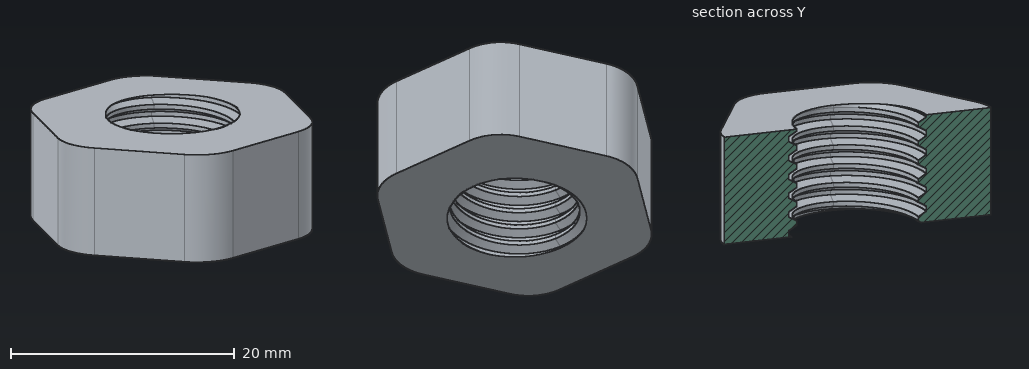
import cadquery as cq
import math

across_flats = 23.42
nut_height = 10.0
corner_radius = 4.5

bore_radius = 11.67 / 2
thread_pitch = 1.75
flank_half_angle = 30.0
crest_height = thread_pitch / 4
root_height = thread_pitch / 4
flank_height = (thread_pitch - crest_height - root_height) / 2
thread_depth = flank_height / math.tan(math.radians(flank_half_angle))

fade_start_angle = 180.0
fade_sweep = 90.0
fade_points = 13

groove_middle = crest_height + flank_height + root_height / 2


def make_body():
    """Hexagonal prism with two flats facing +Y and -Y, and rounded corners."""
    corner_to_corner = across_flats / math.cos(math.radians(30))
    prism = cq.Workplane("XY").polygon(6, corner_to_corner).extrude(nut_height)
    return prism.edges("|Z").fillet(corner_radius)


def helix_arc(depth, turn_z, start_angle, end_angle):
    """Part of a helix at a fixed depth below the bore wall; turn_z is its height at angle zero."""
    rise = thread_pitch * (end_angle - start_angle) / 360
    start_z = turn_z + thread_pitch * start_angle / 360
    helix = cq.Wire.makeHelix(thread_pitch, rise, bore_radius + depth, cq.Vector(0, 0, start_z))
    return helix.rotate(cq.Vector(0, 0, 0), cq.Vector(0, 0, 1), start_angle).Edges()[0]


def fading_arc(depth, turn_z):
    """Helical curve whose depth below the bore wall eases to nothing over the fade."""
    points = []
    for index in range(fade_points):
        progress = index / (fade_points - 1)
        angle = math.radians(fade_sweep * progress)
        radius = bore_radius + depth * (1 + math.cos(math.pi * progress)) / 2
        z = turn_z + thread_pitch * fade_sweep * progress / 360
        points.append(cq.Vector(radius * math.cos(angle), radius * math.sin(angle), z))
    return cq.Edge.makeSpline(points)


def thread_corners(depth):
    """Depth and height of the thread corners over one pitch, from crest to next crest."""
    return [
        (0, 0),
        (0, crest_height),
        (depth, crest_height + flank_height),
        (depth, thread_pitch - flank_height),
        (0, thread_pitch),
    ]


def make_strips(curves):
    """Ruled faces between neighbouring curves."""
    return [cq.Face.makeRuledSurface(low, high) for low, high in zip(curves, curves[1:])]


def make_full_turn(turn_z):
    """Crest, flank, root and flank faces over one turn at full depth."""
    faces = []
    for start_angle, end_angle in ((0, fade_sweep), (fade_sweep, 360)):
        faces += make_strips([
            helix_arc(depth, turn_z + z, start_angle, end_angle)
            for depth, z in thread_corners(thread_depth)
        ])
    return faces


def make_fading_turn(turn_z):
    """One turn in which the groove fades out, followed by plain bore wall."""
    fading = [
        fading_arc(depth, turn_z + z) if depth > 0 else helix_arc(0, turn_z + z, 0, fade_sweep)
        for depth, z in thread_corners(thread_depth)
    ]
    plain = [helix_arc(0, turn_z + z, fade_sweep, 360) for _, z in thread_corners(0)]
    return make_strips(fading) + make_strips(plain)


def make_end_cap(turn_z, depth):
    """Spiral ramp from the axis to the thread, closed by a radial step one pitch high."""
    faces = []
    for start_angle, end_angle in ((0, fade_sweep), (fade_sweep, 360)):
        axis_start = cq.Vector(0, 0, turn_z + thread_pitch * start_angle / 360)
        axis_end = cq.Vector(0, 0, turn_z + thread_pitch * end_angle / 360)
        axis = cq.Edge.makeLine(axis_start, axis_end)
        faces.append(cq.Face.makeRuledSurface(axis, helix_arc(0, turn_z, start_angle, end_angle)))

    step_points = [(bore_radius + d, 0, turn_z + z) for d, z in thread_corners(depth)]
    axis_split_z = turn_z + thread_pitch * fade_sweep / 360
    step_points += [(0, 0, turn_z + thread_pitch), (0, 0, axis_split_z), (0, 0, turn_z)]
    step_outline = cq.Wire.makePolygon(step_points, close=True)
    return faces + [cq.Face.makeFromWires(step_outline)]


def make_threaded_core():
    """Solid filling the threaded hole, ending beyond both faces of the nut."""
    fading_turn_z = nut_height - groove_middle
    full_turns = math.ceil(fading_turn_z / thread_pitch) + 1
    bottom_z = fading_turn_z - full_turns * thread_pitch

    faces = make_end_cap(bottom_z, thread_depth)
    for turn in range(full_turns):
        faces += make_full_turn(bottom_z + turn * thread_pitch)
    faces += make_fading_turn(fading_turn_z)
    faces += make_end_cap(fading_turn_z + thread_pitch, 0)
    core = cq.Solid.makeSolid(cq.Shell.makeShell(faces))
    return cq.Workplane(core).rotate((0, 0, 0), (0, 0, 1), fade_start_angle)


result = make_body().cut(make_threaded_core()).solids()